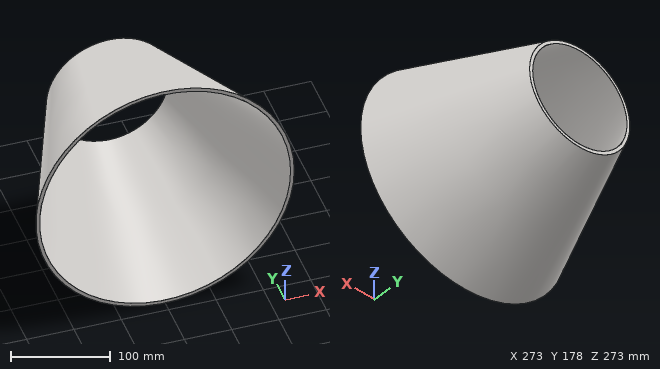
import cadquery as cq

wide_diameter = 273.0
narrow_diameter = 133.0
length = 178.0
wall = 4.0

wide_radius = wide_diameter / 2
narrow_radius = narrow_diameter / 2

wall_section = (
    cq.Workplane("XY")
    .moveTo(wide_radius - wall, 0)
    .lineTo(wide_radius, 0)
    .lineTo(narrow_radius, length)
    .lineTo(narrow_radius - wall, length)
    .close()
)

result = wall_section.revolve(360, (0, 0, 0), (0, 1, 0))